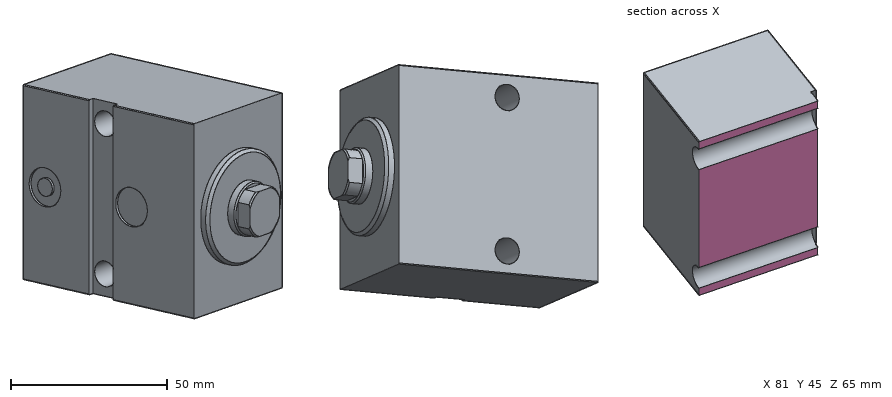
import cadquery as cq

HOUSING_LENGTH = 70.0
HOUSING_DEPTH = 45.0
HOUSING_HEIGHT = 65.0
EDGE_CHAMFER = 0.3
FRONT_Y = -HOUSING_DEPTH / 2

SLOT_START = 27.05
SLOT_WIDTH = 9.9
SLOT_DEPTH = 2.0
SLOT_CENTRE = SLOT_START + SLOT_WIDTH / 2
MOUNT_HOLE_DIAMETER = 8.5
MOUNT_HOLE_SPACING = 50.0

FIRST_PORT_X = 9.0
SECOND_PORT_X = 44.5
PORT_DIAMETER = 13.0
PORT_DEPTH = 1.0
PAD_DIAMETER = 6.0

GLAND_DIAMETER = 38.0
GLAND_THICKNESS = 3.0
GLAND_CHAMFER = 1.0

ROD_DIAMETER = 18.0
ROD_COLLAR_LENGTH = 3.0
ROD_END_DIAMETER = 17.0
ROD_END_LENGTH = 5.0
ROD_ACROSS_FLATS = 15.0
ROD_CHAMFER = 0.5


def x_cylinder(diameter, length, start):
    """Cylinder on the rod axis, running toward +X from the given X."""
    return cq.Workplane("YZ", origin=(start, 0, 0)).circle(diameter / 2).extrude(length)


def front_cylinder(x, z, diameter, depth):
    """Cylinder running toward +Y from the front face."""
    plane = cq.Plane(origin=(x, FRONT_Y, z), xDir=(1, 0, 0), normal=(0, 1, 0))
    return cq.Workplane(plane).circle(diameter / 2).extrude(depth)


def make_housing():
    block = cq.Workplane("XY").box(
        HOUSING_LENGTH, HOUSING_DEPTH, HOUSING_HEIGHT, centered=(False, True, True)
    )
    block = block.edges("|X").chamfer(EDGE_CHAMFER)

    slot = cq.Workplane("XY").box(
        SLOT_WIDTH, SLOT_DEPTH, HOUSING_HEIGHT, centered=(False, False, True)
    )
    block = block.cut(slot.translate((SLOT_START, FRONT_Y, 0)))

    for side in (-1, 1):
        hole_z = side * MOUNT_HOLE_SPACING / 2
        block = block.cut(front_cylinder(SLOT_CENTRE, hole_z, MOUNT_HOLE_DIAMETER, HOUSING_DEPTH))

    first_port = front_cylinder(FIRST_PORT_X, 0, PORT_DIAMETER, PORT_DEPTH)
    pad = front_cylinder(FIRST_PORT_X, 0, PAD_DIAMETER, PORT_DEPTH)
    second_port = front_cylinder(SECOND_PORT_X, 0, PORT_DIAMETER, PORT_DEPTH)
    return block.cut(first_port.cut(pad)).cut(second_port)


def make_gland():
    disc = x_cylinder(GLAND_DIAMETER, GLAND_THICKNESS, HOUSING_LENGTH)
    disc = disc.faces(">X").edges().chamfer(GLAND_CHAMFER)
    return disc.cut(x_cylinder(ROD_DIAMETER, GLAND_THICKNESS, HOUSING_LENGTH))


def make_rod():
    collar_length = GLAND_THICKNESS + ROD_COLLAR_LENGTH
    collar = x_cylinder(ROD_DIAMETER, collar_length, HOUSING_LENGTH)
    collar = collar.faces(">X").edges().chamfer(ROD_CHAMFER)

    end_start = HOUSING_LENGTH + collar_length
    end = x_cylinder(ROD_END_DIAMETER, ROD_END_LENGTH, end_start)
    end = end.faces(">X").edges().chamfer(ROD_CHAMFER)
    square = cq.Workplane("YZ", origin=(end_start, 0, 0))
    square = square.rect(ROD_ACROSS_FLATS, ROD_ACROSS_FLATS).extrude(ROD_END_LENGTH)
    return collar.union(end.intersect(square))


housing = make_housing()
gland = make_gland()
rod = make_rod()

result = cq.Compound.makeCompound([housing.val(), gland.val(), rod.val()])